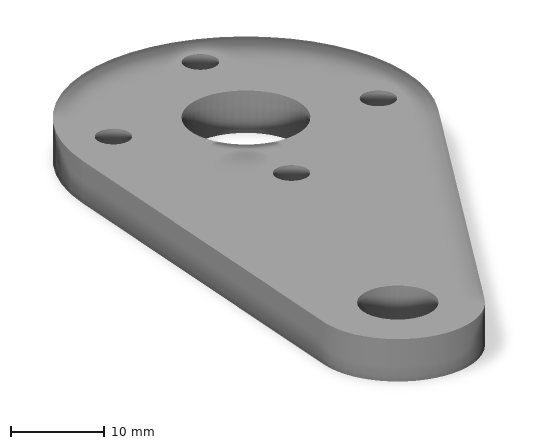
import cadquery as cq
import math

thickness = 5.0
hub_radius = 20.7
tip_radius = 9.35
center_distance = 50.0

hub_bore_diameter = 13.8
tip_bore_diameter = 8.7
bolt_hole_diameter = 4.0
bolt_circle_radius = 15.0
bolt_hole_count = 4


def tangent_point(center_x, radius):
    """Point where the upper straight edge touches a circle centred on the X axis."""
    sine = (hub_radius - tip_radius) / center_distance
    cosine = math.sqrt(1 - sine**2)
    return center_x + radius * sine, radius * cosine


def make_plate():
    """Teardrop plate: two end arcs joined by their common tangents."""
    hub_x, hub_y = tangent_point(0, hub_radius)
    tip_x, tip_y = tangent_point(center_distance, tip_radius)
    return (
        cq.Workplane("XY")
        .moveTo(hub_x, hub_y)
        .lineTo(tip_x, tip_y)
        .threePointArc((center_distance + tip_radius, 0), (tip_x, -tip_y))
        .lineTo(hub_x, -hub_y)
        .threePointArc((-hub_radius, 0), (hub_x, hub_y))
        .close()
        .extrude(thickness)
    )


def cut_bores(plate):
    """Through bores at the centres of the two end arcs."""
    plate = plate.faces(">Z").workplane(origin=(0, 0, thickness)).hole(hub_bore_diameter)
    return plate.faces(">Z").workplane(origin=(center_distance, 0, thickness)).hole(tip_bore_diameter)


def cut_bolt_holes(plate):
    """Through holes evenly spaced around the hub bore."""
    return (
        plate.faces(">Z")
        .workplane(origin=(0, 0, thickness))
        .polarArray(bolt_circle_radius, 0, 360, bolt_hole_count)
        .hole(bolt_hole_diameter)
    )


result = cut_bolt_holes(cut_bores(make_plate()))